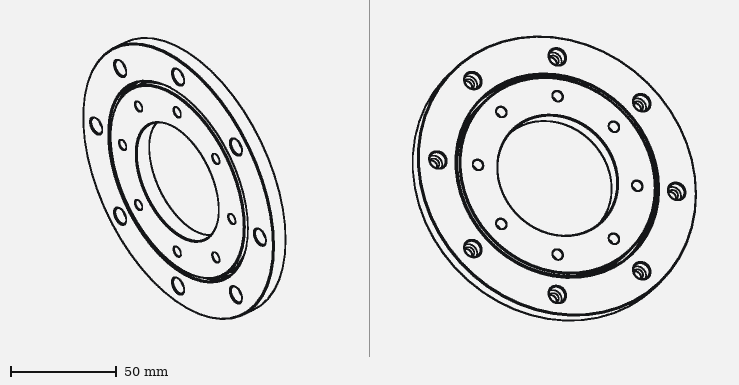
import cadquery as cq
import math


race_pitch_diameter = 100.0
ball_radius = 1.5
ring_gap = 1.6

outer_diameter = 140.0
outer_bore_diameter = race_pitch_diameter + ring_gap
outer_thickness = 8.0
outer_bolt_circle = 120.0
screw_hole_diameter = 5.0
counterbore_diameter = 8.0
counterbore_depth = 5.0
counterbore_rim_chamfer = 0.5

inner_diameter = race_pitch_diameter - ring_gap
inner_bore_diameter = 60.0
front_step = 0.5
inner_thickness = outer_thickness + front_step
inner_bolt_circle = 80.0
inner_hole_diameter = 5.0
inner_hole_chamfer = 0.25

race_y = -outer_thickness / 2

edge_chamfer = 0.5
hole_count = 8


def chamfered_ring(diameter, bore_diameter, thickness):
    """Flat ring with all four circular edges chamfered."""
    ring = cq.Workplane("XZ").circle(diameter / 2).circle(bore_diameter / 2).extrude(thickness)
    return ring.edges("%CIRCLE").chamfer(edge_chamfer)


def front_workplane(thickness):
    """Plane on a ring's front face, facing -Y."""
    return cq.Workplane("XZ", origin=(0, -thickness, 0))


def front_pocket(thickness, diameter, depth):
    """Cylinder on the Y axis going back from the front face."""
    return front_workplane(thickness).circle(diameter / 2).extrude(-depth)


def front_rim_cone(thickness, hole_diameter, chamfer):
    """Cone that breaks a hole's front edge at 45 degrees."""
    rim = front_workplane(thickness).circle(hole_diameter / 2 + chamfer)
    return rim.workplane(offset=-chamfer).circle(hole_diameter / 2).loft()


def cut_hole_circle(ring, hole, bolt_circle):
    """Cut the hole shape out of the ring at equal angles round the bolt circle."""
    for index in range(hole_count):
        angle = math.radians(index * 360.0 / hole_count)
        x = bolt_circle / 2 * math.cos(angle)
        z = bolt_circle / 2 * math.sin(angle)
        ring = ring.cut(hole.translate((x, 0, z)))
    return ring


def make_race():
    """Torus swept by the balls round the Y axis."""
    pitch_radius = race_pitch_diameter / 2
    ball_section = cq.Workplane("XY").center(pitch_radius, race_y).circle(ball_radius)
    return ball_section.revolve(360, (-pitch_radius, 0, 0), (-pitch_radius, 1, 0))


def make_outer_ring():
    """Ring with counterbored screw holes."""
    through_hole = front_pocket(outer_thickness, screw_hole_diameter, outer_thickness)
    counterbore = front_pocket(outer_thickness, counterbore_diameter, counterbore_depth)
    rim = front_rim_cone(outer_thickness, counterbore_diameter, counterbore_rim_chamfer)
    hole = through_hole.union(counterbore).union(rim)
    ring = chamfered_ring(outer_diameter, outer_bore_diameter, outer_thickness)
    return cut_hole_circle(ring, hole, outer_bolt_circle)


def make_inner_ring():
    """Ring with plain through holes whose front edges are chamfered."""
    through_hole = front_pocket(inner_thickness, inner_hole_diameter, inner_thickness)
    rim = front_rim_cone(inner_thickness, inner_hole_diameter, inner_hole_chamfer)
    hole = through_hole.union(rim)
    ring = chamfered_ring(inner_diameter, inner_bore_diameter, inner_thickness)
    return cut_hole_circle(ring, hole, inner_bolt_circle)


race = make_race()
outer_ring = make_outer_ring().cut(race)
inner_ring = make_inner_ring().cut(race)

result = cq.Compound.makeCompound([outer_ring.val(), inner_ring.val()])